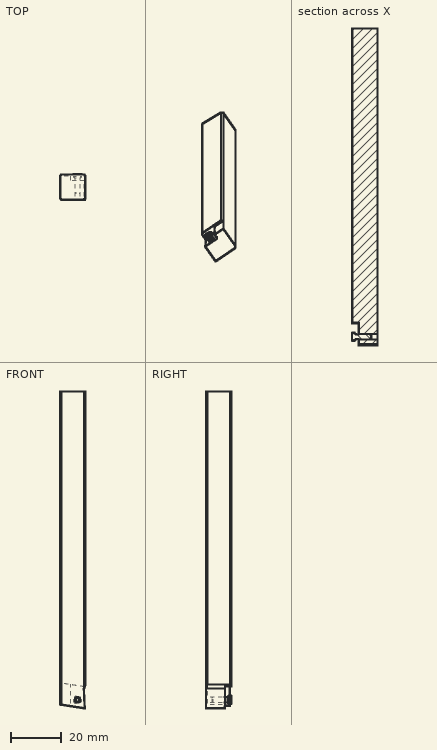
import cadquery as cq
import math

width = 10.0
half = width / 2
height = 124.57
corner_chamfer = 0.6

end_angle = 9.0
end_slope = math.tan(math.radians(end_angle))
tip_x = 4.75

relief_top = 9.35
relief_bottom = 7.8
flank_x = half - corner_chamfer

step_depth = corner_chamfer
step_height = 8.55
pocket_floor_y = 2.5
pocket_wall_x = -0.9

screw_x = 1.87
screw_z = 3.42
screw_diameter = 2.1
screw_end_chamfer = 0.3
screw_end_y = -2.5
head_diameter = 3.3
head_top_y = half + 0.14
head_rim = 1.0
head_edge_chamfer = 0.2


def end_z(x):
    """Height of the slanted end face at a given X."""
    return (tip_x - x) * end_slope


def side_profile():
    """Outline of the holder in the XZ plane."""
    return [
        (-half, height),
        (half, height),
        (half, relief_top),
        (flank_x, relief_bottom),
        (tip_x, 0),
        (-half, end_z(-half)),
    ]


def slanted_cut(left_x, floor_y):
    """Volume above floor_y, right of left_x and below the slanted step wall."""
    outline = [
        (left_x, step_height + end_z(left_x)),
        (half, step_height + end_z(half)),
        (half, end_z(half)),
        (left_x, end_z(left_x)),
    ]
    return (
        cq.Workplane("XZ", origin=(0, floor_y, 0))
        .polyline(outline)
        .close()
        .extrude(floor_y - half)
    )


def square_bar(bottom, top, chamfered_edges):
    """Length of square bar between two heights, with the selected edges chamfered."""
    return (
        cq.Workplane("XY", origin=(0, 0, bottom))
        .rect(width, width)
        .extrude(top - bottom)
        .edges(chamfered_edges)
        .chamfer(corner_chamfer)
    )


def make_holder():
    shank = square_bar(relief_bottom, height, "|Z")
    nose = square_bar(0, relief_bottom, "|Z and <X")
    side = cq.Workplane("XZ").polyline(side_profile()).close().extrude(half, both=True)
    screw_hole = (
        cq.Workplane("XZ", origin=(screw_x, 0, screw_z))
        .circle(screw_diameter / 2)
        .extrude(half, both=True)
    )
    return (
        shank.union(nose)
        .intersect(side)
        .cut(slanted_cut(-half, half - step_depth))
        .cut(slanted_cut(pocket_wall_x, pocket_floor_y))
        .cut(screw_hole)
    )


def make_screw():
    """Countersunk screw, revolved about its axis."""
    shank_radius = screw_diameter / 2
    head_radius = head_diameter / 2
    cone_top_y = head_top_y - head_rim
    cone_bottom_y = cone_top_y - (head_radius - shank_radius)
    half_section = [
        (0, screw_end_y),
        (shank_radius - screw_end_chamfer, screw_end_y),
        (shank_radius, screw_end_y + screw_end_chamfer),
        (shank_radius, cone_bottom_y),
        (head_radius, cone_top_y),
        (head_radius, head_top_y - head_edge_chamfer),
        (head_radius - head_edge_chamfer, head_top_y),
        (0, head_top_y),
    ]
    return (
        cq.Workplane("XY", origin=(screw_x, 0, screw_z))
        .polyline(half_section)
        .close()
        .revolve(360, (0, 0, 0), (0, 1, 0))
    )


holder = make_holder()
screw = make_screw()
result = cq.Compound.makeCompound([holder.val(), screw.val()])